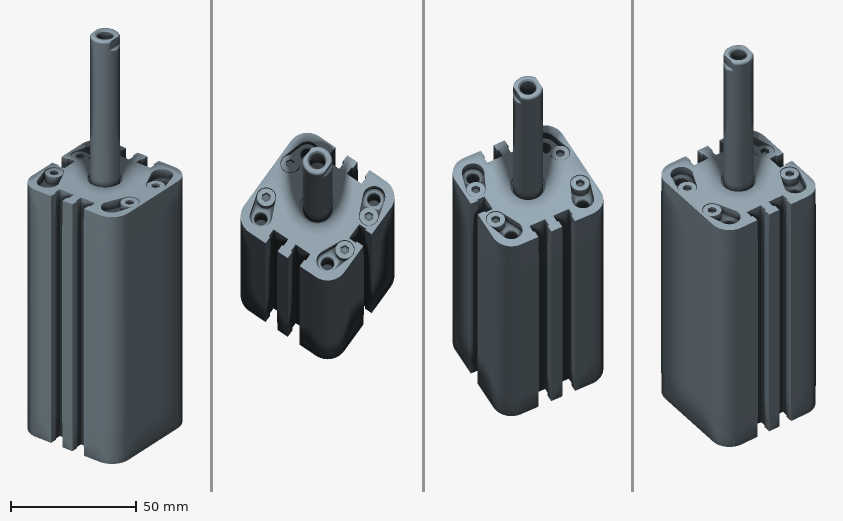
import cadquery as cq
import math

body_width = 49.0
body_height = 114.0
total_height = 180.5
cap_height = 14.0
corner_radius = 8.25
cap_draft = 0.5
tube_height = body_height - 2 * cap_height

slot_mouth_width = 5.6
slot_mouth_depth = 3.4
slot_channel_width = 6.9
slot_depth = 6.5
slot_offset = 5.4

mount_spacing = 32.5
screw_x = 19.15
screw_y = 8.45
pocket_depth = 4.0
mount_lobe_diameter = 9.0
screw_lobe_diameter = 7.9
mount_hole_diameter = 5.2
mount_mouth_diameter = 6.0
screw_head_diameter = 7.4
screw_head_drop = 0.3
socket_width = 3.4
socket_depth = 2.0

rod_diameter = 12.0
rod_tip_radius = 1.1
rod_flat_width = 10.0
rod_flat_height = 4.0
rod_hole_diameter = 6.65
rod_hole_mouth_diameter = 8.0
rod_hole_depth = 14.0
drill_point_angle = 118.0

wiper_diameter = 13.7
wiper_mouth_diameter = 14.2
wiper_depth = 1.0
seal_diameter = 12.54
seal_depth = 2.0


def body_profile():
    """Rounded square with two slots on each Y side and one in the middle of the -X side."""
    half_body = body_width / 2
    mouth_middle = half_body - slot_mouth_depth / 2
    channel_depth = slot_depth - slot_mouth_depth
    channel_middle = half_body - slot_mouth_depth - channel_depth / 2

    profile = cq.Sketch().rect(body_width, body_width).vertices().fillet(corner_radius).reset()
    for offset in (-slot_offset, slot_offset):
        for side in (-1, 1):
            profile = profile.push([(offset, side * mouth_middle)])
            profile = profile.rect(slot_mouth_width, slot_mouth_depth, mode="s").reset()
            profile = profile.push([(offset, side * channel_middle)])
            profile = profile.rect(slot_channel_width, channel_depth, mode="s").reset()

    profile = profile.push([(-mouth_middle, 0)])
    profile = profile.rect(slot_mouth_depth, slot_mouth_width, mode="s").reset()
    profile = profile.push([(-channel_middle, 0)])
    return profile.rect(channel_depth, slot_channel_width, mode="s").reset().clean()


def body_block(height, draft=0.0):
    """The slotted body section standing on the XY plane, narrowing upward by the draft."""
    return cq.Workplane("XY").placeSketch(body_profile()).extrude(height, taper=draft)


def cylinder(diameter, height, x, y, z):
    return cq.Workplane("XY", origin=(x, y, z)).circle(diameter / 2).extrude(height)


def cone(bottom_diameter, top_diameter, height, x, y, z):
    solid = cq.Solid.makeCone(bottom_diameter / 2, top_diameter / 2, height, cq.Vector(x, y, z))
    return cq.Workplane(obj=solid)


def pocket_cutter(sign_x, sign_y):
    """Tapered pocket joining a mounting hole to a tie screw seat."""
    start_x, start_y = sign_x * screw_x, sign_y * screw_y
    end_x, end_y = sign_x * mount_spacing / 2, sign_y * mount_spacing / 2
    start_radius = screw_lobe_diameter / 2
    end_radius = mount_lobe_diameter / 2
    floor = body_height - pocket_depth

    run_x, run_y = end_x - start_x, end_y - start_y
    length = math.hypot(run_x, run_y)
    heading = math.atan2(run_y, run_x)
    tangent = math.acos((start_radius - end_radius) / length)

    def on_lobe(x, y, radius, angle):
        return (x + radius * math.cos(angle), y + radius * math.sin(angle))

    sides = [
        on_lobe(start_x, start_y, start_radius, heading + tangent),
        on_lobe(end_x, end_y, end_radius, heading + tangent),
        on_lobe(end_x, end_y, end_radius, heading - tangent),
        on_lobe(start_x, start_y, start_radius, heading - tangent),
    ]
    return (
        cq.Workplane("XY", origin=(0, 0, floor))
        .moveTo(*sides[0])
        .lineTo(*sides[1])
        .threePointArc(on_lobe(end_x, end_y, end_radius, heading), sides[2])
        .lineTo(*sides[3])
        .threePointArc(on_lobe(start_x, start_y, start_radius, heading + math.pi), sides[0])
        .close()
        .extrude(pocket_depth)
    )


def mount_hole_cutter(x, y):
    """Hole through the front cap with a chamfered mouth at the pocket floor."""
    floor = body_height - pocket_depth
    cap_base = body_height - cap_height
    mouth_depth = (mount_mouth_diameter - mount_hole_diameter) / 2
    hole = cylinder(mount_hole_diameter, floor - cap_base, x, y, cap_base)
    mouth = cone(mount_hole_diameter, mount_mouth_diameter, mouth_depth, x, y, floor - mouth_depth)
    return hole.union(mouth)


def screw_head(x, y):
    """Socket head standing on the pocket floor."""
    head_height = pocket_depth - screw_head_drop
    head = cylinder(screw_head_diameter, head_height, x, y, body_height - pocket_depth)
    socket_corner_diameter = socket_width / math.cos(math.radians(30))
    socket = (
        cq.Workplane("XY", origin=(x, y, body_height - screw_head_drop - socket_depth))
        .polygon(6, socket_corner_diameter)
        .extrude(socket_depth)
    )
    return head.cut(socket)


def build_tube():
    return body_block(tube_height).translate((0, 0, cap_height))


def build_rear_cap():
    flipped = body_block(cap_height, cap_draft).mirror("XY")
    return flipped.translate((0, 0, cap_height))


def build_front_cap():
    cap_base = body_height - cap_height
    cap = body_block(cap_height, cap_draft).translate((0, 0, cap_base))
    for sign_x in (-1, 1):
        for sign_y in (-1, 1):
            cap = cap.cut(pocket_cutter(sign_x, sign_y))
            cap = cap.cut(mount_hole_cutter(sign_x * mount_spacing / 2, sign_y * mount_spacing / 2))
            cap = cap.union(screw_head(sign_x * screw_x, sign_y * screw_y))
    cap = cap.cut(cylinder(rod_diameter, cap_height, 0, 0, cap_base))
    cap = cap.cut(cylinder(seal_diameter, seal_depth, 0, 0, body_height - seal_depth))
    cap = cap.cut(cylinder(wiper_diameter, wiper_depth, 0, 0, body_height - wiper_depth))
    mouth_depth = (wiper_mouth_diameter - wiper_diameter) / 2
    mouth_base = body_height - mouth_depth
    return cap.cut(cone(wiper_diameter, wiper_mouth_diameter, mouth_depth, 0, 0, mouth_base))


def rod_flat_cutter():
    """Removes one wrench flat on the -X side, with a 45 degree run-out below it."""
    flat = rod_flat_width / 2
    surface = rod_diameter / 2
    flat_bottom = total_height - rod_flat_height
    run_out_bottom = flat_bottom - (surface - flat)
    return (
        cq.Workplane("XZ")
        .polyline([
            (-flat, total_height),
            (-flat, flat_bottom),
            (-surface, run_out_bottom),
            (-surface, total_height),
        ])
        .close()
        .extrude(surface, both=True)
    )


def build_rod():
    rod_base = body_height - cap_height
    rod = cylinder(rod_diameter, total_height - rod_base, 0, 0, rod_base)
    rod = rod.edges(">Z").fillet(rod_tip_radius)
    for angle in (0, 180):
        rod = rod.cut(rod_flat_cutter().rotate((0, 0, 0), (0, 0, 1), angle))

    hole_floor = total_height - rod_hole_depth
    rod = rod.cut(cylinder(rod_hole_diameter, rod_hole_depth, 0, 0, hole_floor))
    point_height = rod_hole_diameter / 2 / math.tan(math.radians(drill_point_angle / 2))
    rod = rod.cut(cone(0, rod_hole_diameter, point_height, 0, 0, hole_floor - point_height))
    mouth_depth = (rod_hole_mouth_diameter - rod_hole_diameter) / 2
    mouth_base = total_height - mouth_depth
    return rod.cut(cone(rod_hole_diameter, rod_hole_mouth_diameter, mouth_depth, 0, 0, mouth_base))


tube = build_tube()
rear_cap = build_rear_cap()
front_cap = build_front_cap()
rod = build_rod()

result = cq.Compound.makeCompound([tube.val(), rear_cap.val(), front_cap.val(), rod.val()])